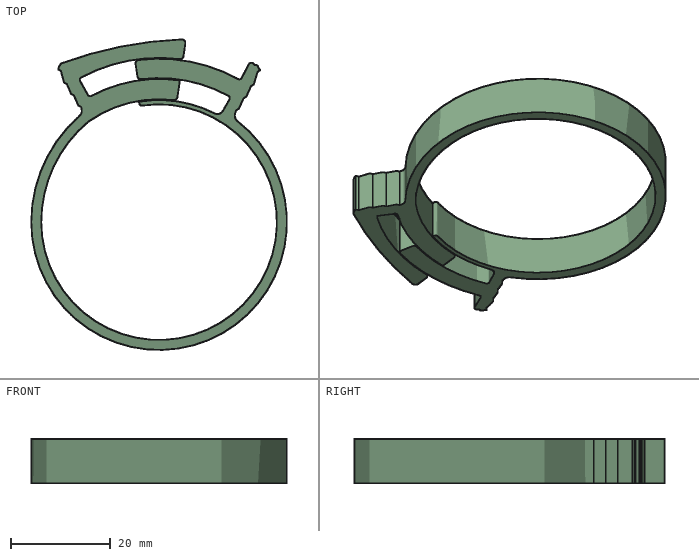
import cadquery as cq
import math


WIDTH = 8.9
RING_DIAMETER = 51.35
RING_OUTER = RING_DIAMETER / 2
RING_WALL = 2.05
RING_INNER = RING_OUTER - RING_WALL
EASE_SHIFT = 2.6

TONGUE_OUTER = 24.5
LOWER_ARM_INNER = 24.65
LOWER_ARM_OUTER = 28.75
MIDDLE_ARM_INNER = 28.9
MIDDLE_ARM_OUTER = 32.8
OUTER_ARM_INNER = 32.95

OUTER_ARM_END_RADIUS = 37.1
OUTER_ARM_MIDDLE_RADIUS = 36.05
OUTER_ARM_MIDDLE_ANGLE = 100.0

LEFT_ARM_END = 81.6
LEFT_JAW_WALL = 119.2
MIDDLE_ARM_END = 98.5
TONGUE_END = 99.5
RIGHT_JAW_WALL = 60.2
LEFT_JAW_ROOT = 125.2
RIGHT_JAW_ROOT = 54.3

EVEN_TOOTH_COUNT = 3
LEFT_OUTER_TIP = (-20.3, 30.65)
LEFT_FIRST_EVEN_TIP = (-19.1, 28.0)
LEFT_TOOTH_STEP = (1.45, -2.3)
LEFT_TOOTH_DROP = (0.55, -0.3)
RIGHT_OUTER_TIP = (20.35, 30.5)
RIGHT_FIRST_EVEN_TIP = (19.0, 27.65)
RIGHT_TOOTH_STEP = (-1.5, -2.45)
RIGHT_TOOTH_DROP = (-0.55, -0.4)

LEFT_CORNER_START = (-19.6, 31.9)
LEFT_CORNER_MIDDLE = (-20.0, 31.3)

NOSE_INNER = (18.1, 31.9)
NOSE_TOP = (18.5, 32.0)
NOSE_OUTER = (18.9, 31.9)
NOTCH = (19.2, 31.5)
LOBE_START = (19.5, 31.6)
LOBE_MIDDLE = (19.85, 31.25)
LOBE_END = (20.0, 30.8)

ROOT_FILLET = 1.4
END_FILLET = 0.75
WINDOW_FILLET = 0.5
TONGUE_ROOT_FILLET = 1.25
TONGUE_FILLET = 0.5
TOOTH_FILLET = 0.4


def polar(radius, angle):
    """Point at a radius and direction about the ring axis."""
    a = math.radians(angle)
    return (radius * math.cos(a), radius * math.sin(a))


def eased_radius(ring_radius, angle):
    """Distance from the ring axis to the shifted arc that starts tangent at the ring's -X point."""
    a = math.radians(angle)
    arc_radius = ring_radius + EASE_SHIFT
    return EASE_SHIFT * math.cos(a) + math.sqrt(arc_radius**2 - (EASE_SHIFT * math.sin(a)) ** 2)


def eased_meeting_angle(ring_radius, radius):
    """Direction in which the shifted arc reaches a given distance from the ring axis."""
    arc_radius = ring_radius + EASE_SHIFT
    cosine = (radius**2 + EASE_SHIFT**2 - arc_radius**2) / (2 * radius * EASE_SHIFT)
    return math.degrees(math.acos(cosine))


def even_tips(first_tip, step):
    """Evenly spaced tooth tips of a jaw back, listed towards the ring."""
    return [(first_tip[0] + i * step[0], first_tip[1] + i * step[1]) for i in range(EVEN_TOOTH_COUNT)]


def teeth(tips, drop):
    """Each tip followed by the valley behind it."""
    points = []
    for tip in tips:
        points.append(tip)
        points.append((tip[0] + drop[0], tip[1] + drop[1]))
    return points


def arc(path, radius, start, end):
    """Add an arc about the ring axis between two directions."""
    return path.threePointArc(polar(radius, (start + end) / 2), polar(radius, end))


def lines(path, points):
    """Add straight lines through the points in turn."""
    for point in points:
        path = path.lineTo(*point)
    return path


def eased_arc(path, ring_radius, start, end):
    """Add a stretch of the shifted upper-left arc."""
    middle = (start + end) / 2
    return path.threePointArc(
        polar(eased_radius(ring_radius, middle), middle),
        polar(eased_radius(ring_radius, end), end),
    )


LEFT_ROOT = polar(eased_radius(RING_OUTER, LEFT_JAW_ROOT), LEFT_JAW_ROOT)
RIGHT_ROOT = polar(RING_OUTER, RIGHT_JAW_ROOT)
LEFT_EVEN_TIPS = even_tips(LEFT_FIRST_EVEN_TIP, LEFT_TOOTH_STEP)
RIGHT_EVEN_TIPS = even_tips(RIGHT_FIRST_EVEN_TIP, RIGHT_TOOTH_STEP)
LOWER_ARM_START = eased_meeting_angle(RING_INNER, LOWER_ARM_INNER)


def clamp_outline():
    """Closed outline of the strip, counterclockwise, with sharp corners."""
    path = cq.Workplane("XY").workplane(offset=-WIDTH / 2).moveTo(-RING_OUTER, 0)
    path = arc(path, RING_OUTER, -180, RIGHT_JAW_ROOT)

    right_teeth = teeth([RIGHT_OUTER_TIP] + RIGHT_EVEN_TIPS, RIGHT_TOOTH_DROP)
    path = lines(path, reversed(right_teeth))
    path = lines(path, [LOBE_END])
    path = path.threePointArc(LOBE_MIDDLE, LOBE_START)
    path = lines(path, [NOTCH, NOSE_OUTER])
    path = path.threePointArc(NOSE_TOP, NOSE_INNER)

    path = lines(path, [polar(MIDDLE_ARM_OUTER, RIGHT_JAW_WALL)])
    path = arc(path, MIDDLE_ARM_OUTER, RIGHT_JAW_WALL, MIDDLE_ARM_END)
    path = lines(path, [polar(MIDDLE_ARM_INNER, MIDDLE_ARM_END)])
    path = arc(path, MIDDLE_ARM_INNER, MIDDLE_ARM_END, RIGHT_JAW_WALL)
    path = lines(path, [polar(TONGUE_OUTER, RIGHT_JAW_WALL)])
    path = arc(path, TONGUE_OUTER, RIGHT_JAW_WALL, TONGUE_END)
    path = lines(path, [polar(RING_INNER, TONGUE_END)])

    path = arc(path, RING_INNER, TONGUE_END, -180)
    path = eased_arc(path, RING_INNER, 180, LOWER_ARM_START)

    path = arc(path, LOWER_ARM_INNER, LOWER_ARM_START, LEFT_ARM_END)
    path = lines(path, [polar(LOWER_ARM_OUTER, LEFT_ARM_END)])
    path = arc(path, LOWER_ARM_OUTER, LEFT_ARM_END, LEFT_JAW_WALL)
    path = lines(path, [polar(OUTER_ARM_INNER, LEFT_JAW_WALL)])
    path = arc(path, OUTER_ARM_INNER, LEFT_JAW_WALL, LEFT_ARM_END)
    path = lines(path, [polar(OUTER_ARM_END_RADIUS, LEFT_ARM_END)])
    outer_arm_middle = polar(OUTER_ARM_MIDDLE_RADIUS, OUTER_ARM_MIDDLE_ANGLE)
    path = path.threePointArc(outer_arm_middle, LEFT_CORNER_START)

    path = path.threePointArc(LEFT_CORNER_MIDDLE, LEFT_OUTER_TIP)
    left_teeth = teeth([LEFT_OUTER_TIP] + LEFT_EVEN_TIPS, LEFT_TOOTH_DROP)
    path = lines(path, left_teeth[1:])
    path = lines(path, [LEFT_ROOT])
    path = eased_arc(path, RING_OUTER, LEFT_JAW_ROOT, 180)
    return path.close()


def round_corner(body, point, radius):
    """Fillet the edge along Z that passes through a point of the outline."""
    edge = cq.selectors.NearestToPointSelector((point[0], point[1], 0))
    return body.edges("|Z").edges(edge).fillet(radius)


CORNERS = [
    (LEFT_ROOT, ROOT_FILLET),
    (RIGHT_ROOT, ROOT_FILLET),
    (polar(OUTER_ARM_END_RADIUS, LEFT_ARM_END), END_FILLET),
    (polar(OUTER_ARM_INNER, LEFT_ARM_END), END_FILLET),
    (polar(LOWER_ARM_INNER, LEFT_ARM_END), END_FILLET),
    (polar(MIDDLE_ARM_OUTER, MIDDLE_ARM_END), END_FILLET),
    (polar(MIDDLE_ARM_INNER, MIDDLE_ARM_END), END_FILLET),
    (polar(LOWER_ARM_OUTER, LEFT_JAW_WALL), WINDOW_FILLET),
    (polar(OUTER_ARM_INNER, LEFT_JAW_WALL), WINDOW_FILLET),
    (polar(TONGUE_OUTER, RIGHT_JAW_WALL), TONGUE_ROOT_FILLET),
    (polar(MIDDLE_ARM_INNER, RIGHT_JAW_WALL), WINDOW_FILLET),
    (polar(MIDDLE_ARM_OUTER, RIGHT_JAW_WALL), WINDOW_FILLET),
    (polar(RING_INNER, TONGUE_END), TONGUE_FILLET),
]
CORNERS += [(tip, TOOTH_FILLET) for tip in LEFT_EVEN_TIPS + RIGHT_EVEN_TIPS]

result = clamp_outline().extrude(WIDTH)
for corner, fillet_radius in CORNERS:
    result = round_corner(result, corner, fillet_radius)